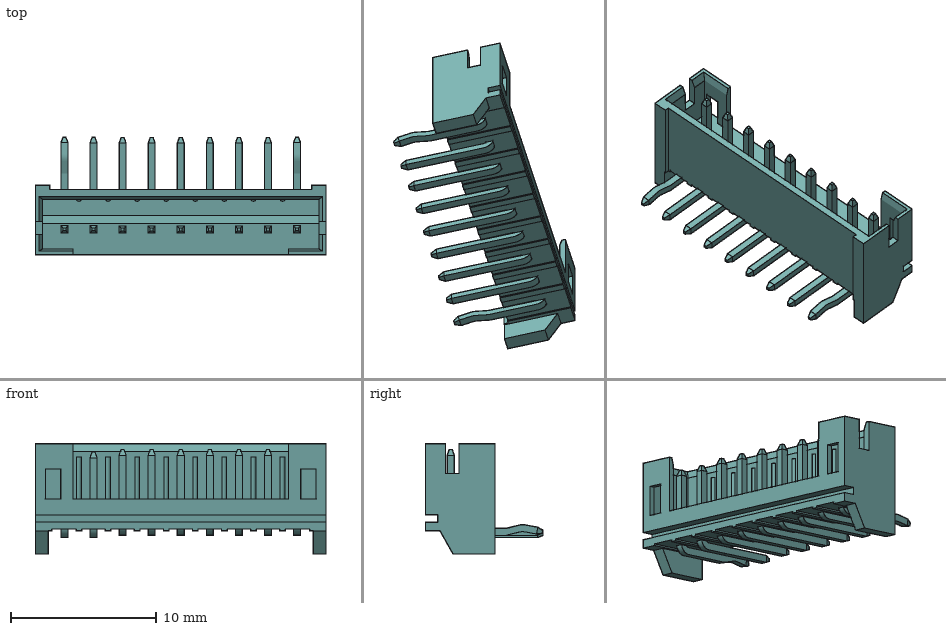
import cadquery as cq
import math

length = 20.0
depth = 4.8
height = 7.6
underside = 1.6
leg_width = 0.9
leg_front = 1.9
leg_slope_start = 1.0
groove_bottom = 2.2
groove_top = 2.7
groove_depth = 0.85
back_tab_width = 1.0
back_recess = 0.3

end_wall = 0.5
front_wall = 0.4
back_wall_inner = 3.8
front_floor = 3.8
back_floor = 2.63
floor_slope_start = 2.16
floor_slope_end = 2.71
rim_wall = 0.25
rim_back = 4.01
rim_bevel_height = 0.53

front_opening_margin = 2.6
window_margin = 0.68
window_width = 1.05
window_top = 5.85
end_slot_front = 1.4
end_slot_width = 0.9
end_slot_depth = 2.05

pin_count = 9
pitch = 2.0
pin_size = 0.49
tip_size = 0.2
tip_length = 0.4
bend_inner_radius = 0.2
pin_front = 1.51
tail_bottom = 1.13
upright_top = 7.03
tail_end = 8.1
raised_by = 0.17
set_forward_by = 0.02
low_pins = (0, 1)
kinked_pins = (0, pin_count - 1)

kink_start = 5.58
crest_start = 6.45
crest_end = 6.87
rise_angle = math.radians(14)
fall_angle = math.radians(10.5)

rib_radius = 0.17
rib_centre = 3.85
rib_top = 6.68
strip_width = 0.4
strip_height = 0.12
end_strip_width = 1.13

pin_positions = [(i - (pin_count - 1) / 2) * pitch for i in range(pin_count)]
gap_positions = [x + pitch / 2 for x in pin_positions[:-1]]


def box(x0, x1, y0, y1, z0, z1):
    return cq.Workplane("XY").box(x1 - x0, y1 - y0, z1 - z0, centered=False).translate((x0, y0, z0))


def side_prism(points, width):
    """Extrude a Y-Z outline symmetrically about X = 0."""
    return cq.Workplane("YZ").polyline(points).close().extrude(width / 2, both=True)


def make_shell():
    """Outer block with the front groove and the two sloped legs."""
    outline = [
        (leg_front, 0),
        (depth, 0),
        (depth, height),
        (0, height),
        (0, groove_top),
        (groove_depth, groove_top),
        (groove_depth, groove_bottom),
        (0, groove_bottom),
        (0, underside),
        (leg_slope_start, underside),
    ]
    shell = side_prism(outline, length)
    inside_leg = length / 2 - leg_width
    inside_tab = length / 2 - back_tab_width
    shell = shell.cut(box(-inside_leg, inside_leg, 0, depth, 0, underside))
    return shell.cut(box(-inside_tab, inside_tab, depth - back_recess, depth, 0, height))


def cut_cavity(body):
    """Stepped-floor cavity, open at the top, with a bevelled rim."""
    cavity_outline = [
        (front_wall, front_floor),
        (floor_slope_start, front_floor),
        (floor_slope_end, back_floor),
        (back_wall_inner, back_floor),
        (back_wall_inner, height),
        (front_wall, height),
    ]
    inner_length = length - 2 * end_wall
    rim_length = length - 2 * rim_wall
    inner_depth = back_wall_inner - front_wall
    inner_middle = (front_wall + back_wall_inner) / 2
    rim_depth = rim_back - rim_wall
    rim_middle = (rim_wall + rim_back) / 2
    bevel = (
        cq.Workplane("XY", origin=(0, inner_middle, height - rim_bevel_height))
        .rect(inner_length, inner_depth)
        .workplane(offset=rim_bevel_height)
        .center(0, rim_middle - inner_middle)
        .rect(rim_length, rim_depth)
        .loft()
    )
    return body.cut(side_prism(cavity_outline, inner_length)).cut(bevel)


def cut_wall_openings(body):
    """Wide front opening, two front windows and a slot in each end wall."""
    half = length / 2
    opening = half - front_opening_margin
    body = body.cut(box(-opening, opening, 0, front_wall, front_floor, height))
    window_outer = half - window_margin
    window_inner = window_outer - window_width
    for x0, x1 in ((-window_outer, -window_inner), (window_inner, window_outer)):
        body = body.cut(box(x0, x1, 0, front_wall, front_floor, window_top))
    slot_back = end_slot_front + end_slot_width
    slot_bottom = height - end_slot_depth
    for x0, x1 in ((-half, -half + end_wall), (half - end_wall, half)):
        body = body.cut(box(x0, x1, end_slot_front, slot_back, slot_bottom, height))
    return body


def cut_underside(body):
    """Relieve the underside, leaving end strips and a strip between each pair of pins."""
    inside = length / 2 - end_strip_width
    relief = box(-inside, inside, 0, depth, underside, underside + strip_height)
    for x in gap_positions:
        relief = relief.cut(
            box(x - strip_width / 2, x + strip_width / 2, 0, depth, underside, underside + strip_height)
        )
    return body.cut(relief)


def add_ribs(body):
    """Round ribs up the inside of the back wall."""
    for x in gap_positions:
        rib = (
            cq.Workplane("XY", origin=(x, rib_centre, back_floor))
            .circle(rib_radius)
            .extrude(rib_top - back_floor)
        )
        body = body.union(rib)
    return body


def make_housing(pins):
    body = cut_underside(cut_wall_openings(cut_cavity(make_shell())))
    body = add_ribs(body)
    for pin in pins:
        body = body.cut(pin)
    return body


def make_tip(plane, base_height=pin_size):
    """Tapered pin end on the given plane."""
    return (
        cq.Workplane(plane)
        .rect(pin_size, base_height)
        .workplane(offset=tip_length)
        .rect(tip_size, tip_size)
        .loft()
    )


def make_bent_body(front, bottom, upright_shoulder, add_tail):
    """Upright and bend of a pin; add_tail draws the tail from its underside back to its top."""
    back = front + pin_size
    bend_y = back + bend_inner_radius
    bend_z = bottom + pin_size + bend_inner_radius
    inner_reach = bend_inner_radius * math.sqrt(0.5)
    outer_reach = (bend_inner_radius + pin_size) * math.sqrt(0.5)
    outline = (
        cq.Workplane("YZ")
        .moveTo(back, upright_shoulder)
        .lineTo(front, upright_shoulder)
        .lineTo(front, bend_z)
        .threePointArc((bend_y - outer_reach, bend_z - outer_reach), (bend_y, bottom))
    )
    outline = (
        add_tail(outline)
        .lineTo(bend_y, bottom + pin_size)
        .threePointArc((bend_y - inner_reach, bend_z - inner_reach), (back, bend_z))
        .close()
    )
    body = outline.extrude(pin_size / 2, both=True)
    upright_end = cq.Plane((0, front + pin_size / 2, upright_shoulder), xDir=(1, 0, 0), normal=(0, 0, 1))
    return body.union(make_tip(upright_end))


def make_straight_pin(lift, forward):
    """Right-angle pin with a straight tail towards +Y."""
    bottom = tail_bottom + lift
    shoulder = tail_end - forward - tip_length

    def add_tail(outline):
        return outline.lineTo(shoulder, bottom).lineTo(shoulder, bottom + pin_size)

    body = make_bent_body(pin_front - forward, bottom, upright_top + lift - tip_length, add_tail)
    tail_plane = cq.Plane((0, shoulder, bottom + pin_size / 2), xDir=(1, 0, 0), normal=(0, 1, 0))
    return body.union(make_tip(tail_plane))


def make_kinked_pin(lift):
    """Right-angle pin whose tail rises to a rounded crest and then slopes down to its tip."""
    bottom = tail_bottom + lift
    top = bottom + pin_size
    rise_sin, rise_cos = math.sin(rise_angle), math.cos(rise_angle)
    fall_sin, fall_cos = math.sin(fall_angle), math.cos(fall_angle)

    crest_radius = (crest_end - crest_start) / (rise_sin + fall_sin)
    crest_y = crest_start + crest_radius * rise_sin
    start_rise = (crest_start - kink_start) * math.tan(rise_angle)
    crest_rise = start_rise + crest_radius * (1 - rise_cos)
    end_rise = crest_rise - crest_radius * (1 - fall_cos)

    shoulder_y = tail_end - tip_length * fall_cos - tip_size / 2 * fall_sin
    shoulder_z = bottom + pin_size / 2 + end_rise - (shoulder_y - crest_end) * math.tan(fall_angle)
    shoulder_height = pin_size * fall_cos
    half_y = shoulder_height / 2 * fall_sin
    half_z = shoulder_height / 2 * fall_cos

    def add_tail(outline):
        return (
            outline.lineTo(kink_start, bottom)
            .lineTo(crest_start, bottom + start_rise)
            .threePointArc((crest_y, bottom + crest_rise), (crest_end, bottom + end_rise))
            .lineTo(shoulder_y - half_y, shoulder_z - half_z)
            .lineTo(shoulder_y + half_y, shoulder_z + half_z)
            .lineTo(crest_end, top + end_rise)
            .threePointArc((crest_y, top + crest_rise), (crest_start, top + start_rise))
            .lineTo(kink_start, top)
        )

    body = make_bent_body(pin_front, bottom, upright_top + lift - tip_length, add_tail)
    tail_plane = cq.Plane((0, shoulder_y, shoulder_z), xDir=(1, 0, 0), normal=(0, fall_cos, -fall_sin))
    return body.union(make_tip(tail_plane, shoulder_height))


def make_pin(index):
    lift = 0 if index in low_pins else raised_by
    if index in kinked_pins:
        pin = make_kinked_pin(lift)
    else:
        pin = make_straight_pin(lift, 0 if index in low_pins else set_forward_by)
    return pin.translate((pin_positions[index], 0, 0))


pins = [make_pin(index) for index in range(pin_count)]
housing = make_housing(pins)

result = cq.Compound.makeCompound([*housing.solids().vals(), *[pin.solids().val() for pin in pins]])